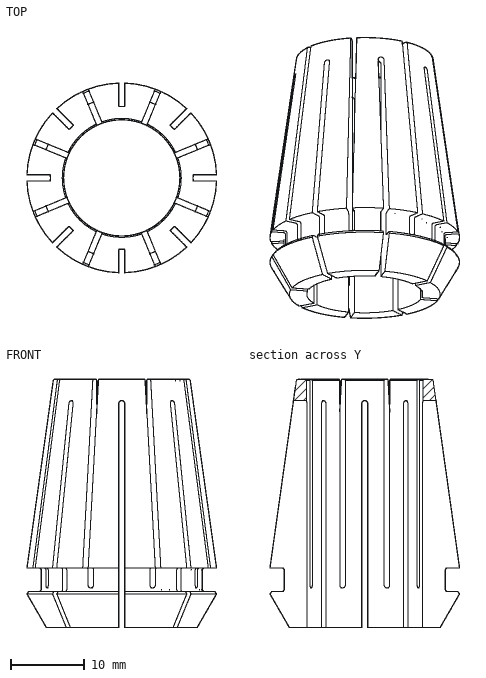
import cadquery as cq
import math

height = 34.0
max_diameter = 25.98
bore_diameter = 15.88

taper_angle = 8.0
taper_base_z = 8.15
top_edge_radius = 0.3
bore_edge_chamfer = 0.2

groove_diameter = 22.1
groove_base_z = 4.95
groove_corner_radius = 0.27

nose_angle = 30.0
rim_z = 4.62
rim_edge_width = 0.27

slots_per_set = 8
slot_width = 0.8
lower_slot_top_z = 31.05
upper_slot_bottom_z = 5.45

max_radius = max_diameter / 2
bore_radius = bore_diameter / 2
groove_radius = groove_diameter / 2
slot_pitch = 360 / slots_per_set

bore_rank = 0
top_outer_rank = 1
groove_rank = 3


def circles_of_rank(shape, rank):
    """Select the circular edges whose radius has the given rank, smallest first."""
    return shape.edges("%CIRCLE").edges(cq.selectors.RadiusNthSelector(rank))


def collet_body():
    """Revolve the double-tapered sleeve around Z."""
    top_radius = max_radius - (height - taper_base_z) * math.tan(math.radians(taper_angle))
    nose_radius = max_radius - rim_z * math.tan(math.radians(nose_angle))
    profile = [
        (bore_radius, 0),
        (nose_radius, 0),
        (max_radius, rim_z),
        (max_radius - rim_edge_width, groove_base_z),
        (groove_radius, groove_base_z),
        (groove_radius, taper_base_z),
        (max_radius, taper_base_z),
        (top_radius, height),
        (bore_radius, height),
    ]
    body = cq.Workplane("XZ").polyline(profile).close().revolve(360, (0, 0), (0, 1))
    body = circles_of_rank(body, groove_rank).fillet(groove_corner_radius)
    body = circles_of_rank(body.faces(">Z"), top_outer_rank).fillet(top_edge_radius)
    return circles_of_rank(body.faces(">Z"), bore_rank).chamfer(bore_edge_chamfer)


def radial_slot(start_z, round_end_z, angle):
    """Radial cutter from start_z to a full-round end, on the +X side turned by angle."""
    end_radius = slot_width / 2
    direction = math.copysign(1, round_end_z - start_z)
    arc_center_z = round_end_z - direction * end_radius
    return (
        cq.Workplane("YZ")
        .moveTo(-end_radius, start_z)
        .lineTo(-end_radius, arc_center_z)
        .threePointArc((0, round_end_z), (end_radius, arc_center_z))
        .lineTo(end_radius, start_z)
        .close()
        .extrude(max_diameter)
        .rotate((0, 0, 0), (0, 0, 1), angle)
    )


result = collet_body()
for index in range(slots_per_set):
    lower_angle = index * slot_pitch
    upper_angle = lower_angle + slot_pitch / 2
    result = result.cut(radial_slot(0, lower_slot_top_z, lower_angle))
    result = result.cut(radial_slot(height, upper_slot_bottom_z, upper_angle))